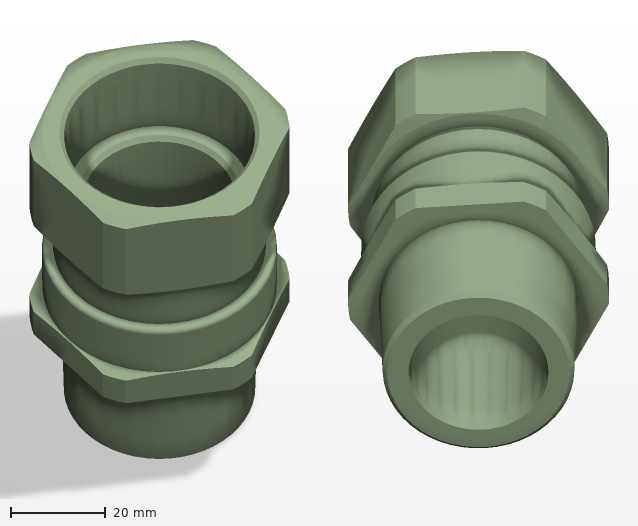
import cadquery as cq
import math

ACROSS_FLATS = 50.0
CORNER_DIAMETER = 55.0
HEX_CHAMFER_ANGLE = 15.0
HEX_FACE_RADIUS = 24.7

TOTAL_HEIGHT = 82.25
PIPE_THREAD_LENGTH = 26.0
LOWER_HEX_HEIGHT = 7.9
COLLAR_HEIGHT = 12.75
UPPER_HEX_HEIGHT = 22.4
NECK_HEIGHT = 2.45
LOWER_HEX_TOP = PIPE_THREAD_LENGTH + LOWER_HEX_HEIGHT
COLLAR_TOP = LOWER_HEX_TOP + COLLAR_HEIGHT
UPPER_HEX_BOTTOM = TOTAL_HEIGHT - UPPER_HEX_HEIGHT
SPIGOT_TOP = UPPER_HEX_BOTTOM - NECK_HEIGHT

PIPE_TAPER = 1.0 / 32.0
PIPE_ROOT_RADIUS = 21.0
PIPE_TIP_CHAMFER = 1.0
COLLAR_RADIUS = 24.75
COLLAR_FILLET = 0.9
BORE_OUTLET_RADIUS = 14.75

NECK_RADIUS = 21.5
SPIGOT_RADIUS = 22.5
UPPER_BORE_RADIUS = 16.05
BORE_CHAMFER = 1.0
FEMALE_DEPTH = 20.2
FEMALE_FLOOR_RADIUS = 19.55
FEMALE_MOUTH_RADIUS = 21.1
FEMALE_MOUTH_CHAMFER = 0.95


def revolve(profile):
    """Solid of revolution about Z from (radius, height) points."""
    return cq.Workplane("XZ").polyline(profile).close().revolve(360, (0, 0, 0), (0, 1, 0))


def cylinder(radius, bottom, top):
    return cq.Workplane("XY").workplane(offset=bottom).circle(radius).extrude(top - bottom)


def hexagon(bottom, top, top_face_radius, chamfer_bottom):
    """Hexagon with turned corners, chamfered on top and, if asked, underneath."""
    corner_radius = CORNER_DIAMETER / 2
    slope = math.tan(math.radians(HEX_CHAMFER_ANGLE))
    top_drop = (corner_radius - top_face_radius) * slope
    if chamfer_bottom:
        bottom_rise = (corner_radius - HEX_FACE_RADIUS) * slope
        lower_edge = [(HEX_FACE_RADIUS, bottom), (corner_radius, bottom + bottom_rise)]
    else:
        lower_edge = [(corner_radius, bottom)]
    upper_edge = [(corner_radius, top - top_drop), (top_face_radius, top)]
    blank = revolve([(0, bottom), *lower_edge, *upper_edge, (0, top)])
    prism = (
        cq.Workplane("XY").workplane(offset=bottom)
        .polygon(6, ACROSS_FLATS, circumscribed=True)
        .extrude(top - bottom)
    )
    return prism.intersect(blank)


def make_lower_body():
    """Male adapter: tapered pipe end, hexagon and collar with a socket."""
    pipe_start_radius = PIPE_ROOT_RADIUS - PIPE_TAPER * (PIPE_THREAD_LENGTH - PIPE_TIP_CHAMFER)
    pipe = revolve([
        (0, 0),
        (pipe_start_radius - PIPE_TIP_CHAMFER, 0),
        (pipe_start_radius, PIPE_TIP_CHAMFER),
        (PIPE_ROOT_RADIUS, PIPE_THREAD_LENGTH),
        (0, PIPE_THREAD_LENGTH),
    ])
    collar = cylinder(COLLAR_RADIUS, LOWER_HEX_TOP, COLLAR_TOP).faces(">Z").edges().fillet(COLLAR_FILLET)
    flange = hexagon(PIPE_THREAD_LENGTH, LOWER_HEX_TOP, COLLAR_RADIUS, False)
    body = pipe.union(flange).union(collar)

    socket = cylinder(SPIGOT_RADIUS, LOWER_HEX_TOP, COLLAR_TOP)
    bore = revolve([
        (0, 0),
        (BORE_OUTLET_RADIUS, 0),
        (UPPER_BORE_RADIUS, LOWER_HEX_TOP),
        (0, LOWER_HEX_TOP),
    ])
    return body.cut(socket).cut(bore)


def make_upper_body():
    """Female end: hexagon with a tapered pipe socket, on a neck and spigot."""
    spigot = cylinder(SPIGOT_RADIUS, LOWER_HEX_TOP, SPIGOT_TOP)
    neck = cylinder(NECK_RADIUS, SPIGOT_TOP, UPPER_HEX_BOTTOM)
    head = hexagon(UPPER_HEX_BOTTOM, TOTAL_HEIGHT, HEX_FACE_RADIUS, True)
    body = spigot.union(neck).union(head)

    floor = TOTAL_HEIGHT - FEMALE_DEPTH
    passage = revolve([
        (0, LOWER_HEX_TOP),
        (UPPER_BORE_RADIUS, LOWER_HEX_TOP),
        (UPPER_BORE_RADIUS, floor - BORE_CHAMFER),
        (UPPER_BORE_RADIUS + BORE_CHAMFER, floor),
        (FEMALE_FLOOR_RADIUS, floor),
        (FEMALE_MOUTH_RADIUS - FEMALE_MOUTH_CHAMFER, TOTAL_HEIGHT - FEMALE_MOUTH_CHAMFER),
        (FEMALE_MOUTH_RADIUS, TOTAL_HEIGHT),
        (0, TOTAL_HEIGHT),
    ])
    return body.cut(passage)


lower_body = make_lower_body()
upper_body = make_upper_body()
result = cq.Compound.makeCompound([lower_body.val(), upper_body.val()])